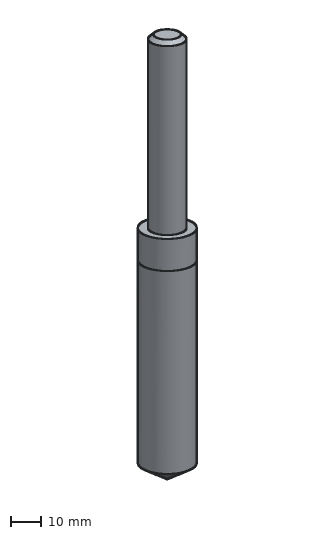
import cadquery as cq
import math

overall_length = 158.0
drill_diameter = 19.43
shank_diameter = 12.7
shank_length = 68.7
collar_length = 11.4
point_angle = 118.0
end_chamfer_height = 1.6
end_chamfer_width = 1.8

drill_radius = drill_diameter / 2
shank_radius = shank_diameter / 2
point_height = drill_radius / math.tan(math.radians(point_angle / 2))
shoulder_z = overall_length - shank_length
joint_z = shoulder_z - collar_length


def revolve_profile(points):
    """Turn a closed (radius, height) outline into a solid of revolution about Z."""
    return cq.Workplane("XZ").polyline(points).close().revolve(360, (0, 0, 0), (0, 1, 0))


cutting_body = revolve_profile([
    (0, 0),
    (drill_radius, point_height),
    (drill_radius, joint_z),
    (0, joint_z),
])

shank = revolve_profile([
    (0, joint_z),
    (drill_radius, joint_z),
    (drill_radius, shoulder_z),
    (shank_radius, shoulder_z),
    (shank_radius, overall_length - end_chamfer_height),
    (shank_radius - end_chamfer_width, overall_length),
    (0, overall_length),
])

result = cq.Compound.makeCompound([cutting_body.val(), shank.val()])